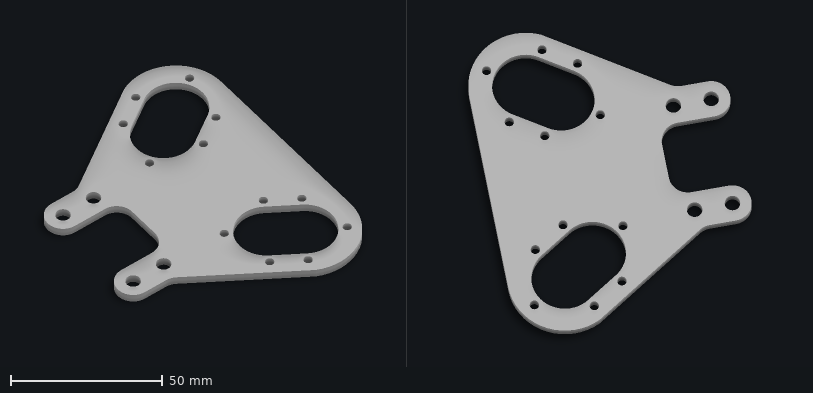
import cadquery as cq
import math

width = 107.9
depth = 84.8
thickness = 3.1

shoulder_radius = 19.0
shoulder_end_angle = -26.5
slot_end_radius = 11.1
slot_center_spacing = 12.7
slot_angle = 56.6
bolt_circle_radius = 14.0
small_hole_diameter = 3.1

leg_x = 19.0
leg_radius = 6.4
leg_hole_diameter = 5.2
leg_hole_spacing = 12.7
notch_top = 25.4
notch_fillet = 6.4
hip_y = 17.2
hip_fillet = 6.4

shoulder_x = width / 2 - shoulder_radius
shoulder_y = depth - shoulder_radius
slot_rad = math.radians(slot_angle)
axis_x = math.cos(slot_rad)
axis_y = math.sin(slot_rad)
leg_outer_x = leg_x + leg_radius
leg_inner_x = leg_x - leg_radius


def shoulder_point(angle):
    """Point on the right shoulder arc at an angle in radians."""
    return (
        shoulder_x + shoulder_radius * math.cos(angle),
        shoulder_y + shoulder_radius * math.sin(angle),
    )


def half_plate():
    """Right half of the plate."""
    end_angle = math.radians(shoulder_end_angle)
    arc_middle = shoulder_point((end_angle + math.pi / 2) / 2)
    plate = (
        cq.Workplane("XY")
        .moveTo(0, depth)
        .lineTo(shoulder_x, depth)
        .threePointArc(arc_middle, shoulder_point(end_angle))
        .lineTo(leg_outer_x, hip_y)
        .lineTo(leg_outer_x, leg_radius)
        .threePointArc((leg_x, 0), (leg_inner_x, leg_radius))
        .lineTo(leg_inner_x, notch_top)
        .lineTo(0, notch_top)
        .close()
        .extrude(thickness)
    )
    hip_edge = cq.selectors.NearestToPointSelector((leg_outer_x, hip_y, thickness / 2))
    notch_edge = cq.selectors.NearestToPointSelector((leg_inner_x, notch_top, thickness / 2))
    plate = plate.edges("|Z").edges(hip_edge).fillet(hip_fillet)
    return plate.edges("|Z").edges(notch_edge).fillet(notch_fillet)


def cut_slot(plate):
    """Cut the slanted slot, whose upper end is concentric with the shoulder."""
    cutter = (
        cq.Workplane("XY")
        .center(
            shoulder_x - axis_x * slot_center_spacing / 2,
            shoulder_y - axis_y * slot_center_spacing / 2,
        )
        .slot2D(slot_center_spacing + 2 * slot_end_radius, 2 * slot_end_radius, slot_angle)
        .extrude(thickness)
    )
    return plate.cut(cutter)


def cut_holes(plate, points, diameter):
    """Drill through holes at the given points."""
    drills = cq.Workplane("XY").pushPoints(points).circle(diameter / 2).extrude(thickness)
    return plate.cut(drills)


def slot_hole_points():
    """Three holes around each slot end: one beyond the end and one on each side."""
    points = []
    for distance, outward in ((0, 1), (-slot_center_spacing, -1)):
        end_x = shoulder_x + distance * axis_x
        end_y = shoulder_y + distance * axis_y
        for quarter_turn in (-1, 0, 1):
            angle = slot_rad + quarter_turn * math.pi / 2
            reach = outward * bolt_circle_radius
            points.append((end_x + reach * math.cos(angle), end_y + reach * math.sin(angle)))
    return points


leg_hole_points = [(leg_x, leg_radius), (leg_x, leg_radius + leg_hole_spacing)]

right_half = cut_slot(half_plate())
right_half = cut_holes(right_half, slot_hole_points(), small_hole_diameter)
right_half = cut_holes(right_half, leg_hole_points, leg_hole_diameter)

result = right_half.union(right_half.mirror("YZ")).clean()